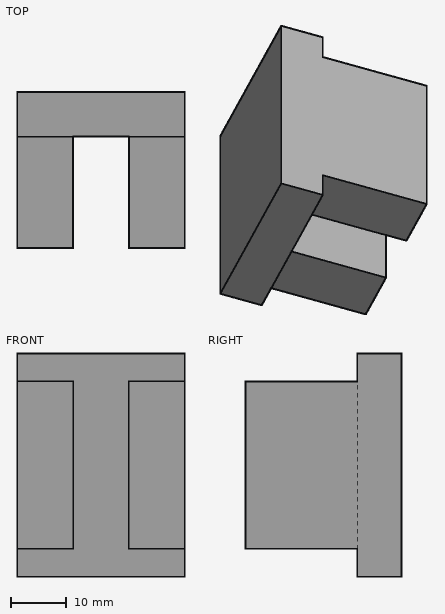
import cadquery as cq

plate_width = 30.0
plate_thickness = 8.0
plate_height = 40.0

arm_width = 10.0
arm_length = 20.0
arm_height = 30.0


def make_plate():
    """Flat rectangular plate behind the arms."""
    plate = cq.Workplane("XY").box(plate_width, plate_thickness, plate_height)
    return plate.translate((0, plate_thickness / 2, 0))


def make_arm(side):
    """Rectangular arm on the -X (side = -1) or +X (side = 1) edge of the plate."""
    arm_center_x = side * (plate_width - arm_width) / 2
    arm = cq.Workplane("XY").box(arm_width, arm_length, arm_height)
    return arm.translate((arm_center_x, -arm_length / 2, 0))


result = make_plate()
for side in (-1, 1):
    result = result.union(make_arm(side))